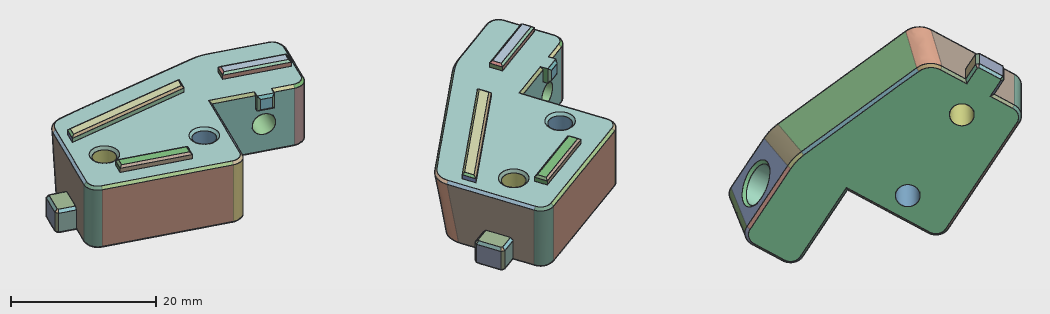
import cadquery as cq
import math

body_width = 26.5
body_length = 37.0
body_height = 10.25
arm_width = 11.5
shoulder_y = 23.03
edge_chamfer = 0.4

left_lean = math.radians(15)
diagonal_lean = math.radians(10)
diagonal_angle = math.radians(20)
diagonal_front_x = 8.9

corner_radius = 2.0
front_corner_radius = 3.0
bend_radius = 8.0

hole_diameter = 3.4
hole_x = 19.0
hole_ys = (4.85, 19.35)

cross_hole_y = 30.55
cross_hole_z = 4.85
counterbore_diameter = 6.0
counterbore_floor_x = 4.9

rib_height = 1.0
rib_chamfer = 0.3
rib_width = 2.0
left_rib_x = 4.85
left_rib_y = 26.1
left_rib_length = 10.0
right_rib_x = 21.83
right_rib_y = 5.48
right_rib_length = 10.5
diagonal_rib_x = 12.67
diagonal_rib_y = 1.6
diagonal_rib_length_y = 18.5

tab_root = 2.0
front_tab_x = 19.0
front_tab_width = 4.55
front_tab_length = 3.0
front_tab_height = 3.9
side_tab_y = 30.55
side_tab_width = 2.5
side_tab_length = 1.1
side_tab_height = 2.5


def body_outline(depth):
    """Sharp-cornered plan outline at a depth below the top face."""
    left_x = -edge_chamfer * math.sin(left_lean) + depth * math.tan(left_lean)
    diagonal_shift = depth * math.tan(diagonal_lean) / math.cos(diagonal_angle)
    front_x = diagonal_front_x + diagonal_shift
    bend_y = (front_x - left_x) / math.tan(diagonal_angle)
    return [
        (front_x, 0),
        (body_width, 0),
        (body_width, shoulder_y),
        (arm_width, shoulder_y),
        (arm_width, body_length),
        (left_x, body_length),
        (left_x, bend_y),
    ]


def round_corner(body, corner, radius):
    """Round the upright edge running between the two outlines at one corner."""
    (x0, y0), (x1, y1) = body_outline(body_height)[corner], body_outline(0)[corner]
    middle = ((x0 + x1) / 2, (y0 + y1) / 2, body_height / 2)
    return body.edges(cq.selectors.NearestToPointSelector(middle)).fillet(radius)


def make_body():
    body = (
        cq.Workplane("XY")
        .polyline(body_outline(body_height)).close()
        .workplane(offset=body_height)
        .polyline(body_outline(0)).close()
        .loft(ruled=True)
    )
    body = round_corner(body, 0, front_corner_radius)
    for corner in (1, 2, 4, 5):
        body = round_corner(body, corner, corner_radius)
    body = round_corner(body, 6, bend_radius)
    return body.faces(">Z or <Z").chamfer(edge_chamfer)


def make_rib(outline):
    rib = cq.Workplane("XY", origin=(0, 0, body_height)).polyline(outline).close().extrude(rib_height)
    return rib.faces(">Z").chamfer(rib_chamfer)


def straight_rib(x, y, length):
    return make_rib([(x, y), (x + rib_width, y), (x + rib_width, y + length), (x, y + length)])


def diagonal_rib():
    """Rib parallel to the diagonal wall, with ends parallel to the X axis."""
    width_x = rib_width / math.cos(diagonal_angle)
    back_x = diagonal_rib_x - diagonal_rib_length_y * math.tan(diagonal_angle)
    back_y = diagonal_rib_y + diagonal_rib_length_y
    return make_rib([
        (diagonal_rib_x, diagonal_rib_y),
        (diagonal_rib_x + width_x, diagonal_rib_y),
        (back_x + width_x, back_y),
        (back_x, back_y),
    ])


def front_tab():
    """Tab at the foot of the front wall, rooted inside the body."""
    tab = cq.Workplane("XY").box(
        front_tab_width, front_tab_length + tab_root, front_tab_height, centered=(True, False, False)
    )
    tab = tab.edges("|Z and <Y").chamfer(edge_chamfer)
    tab = tab.faces(">Z or <Z").edges("not >Y").chamfer(edge_chamfer)
    return tab.translate((front_tab_x, -front_tab_length, 0))


def side_tab():
    """Tab on the arm, flush with the top face."""
    tab = cq.Workplane("XY").box(
        side_tab_length + tab_root, side_tab_width, side_tab_height, centered=(False, True, False)
    )
    tab = tab.faces(">X").chamfer(edge_chamfer)
    return tab.translate((arm_width - tab_root, side_tab_y, body_height - side_tab_height))


def screw_hole(y):
    """Through hole with a chamfered mouth at the top."""
    mouth_diameter = hole_diameter + 2 * edge_chamfer
    hole = cq.Workplane("XY").circle(hole_diameter / 2).extrude(body_height)
    mouth = (
        cq.Workplane("XY", origin=(0, 0, body_height - edge_chamfer))
        .circle(hole_diameter / 2)
        .workplane(offset=edge_chamfer)
        .circle(mouth_diameter / 2)
        .loft()
    )
    return hole.union(mouth).translate((hole_x, y, 0))


def cut_cross_hole(body):
    """Hole along X with a counterbore whose rim is chamfered on the leaning wall."""
    wall_x = (body_height - cross_hole_z) * math.tan(left_lean)
    axis = cq.Workplane("YZ", origin=(0, cross_hole_y, cross_hole_z))
    body = body.cut(axis.circle(counterbore_diameter / 2).extrude(counterbore_floor_x))
    rim_middle = (wall_x, cross_hole_y, cross_hole_z)
    body = body.edges(cq.selectors.NearestToPointSelector(rim_middle)).chamfer(edge_chamfer)
    return body.cut(axis.circle(hole_diameter / 2).extrude(body_width))


result = cut_cross_hole(make_body())
result = result.union(straight_rib(left_rib_x, left_rib_y, left_rib_length))
result = result.union(straight_rib(right_rib_x, right_rib_y, right_rib_length))
result = result.union(diagonal_rib())
result = result.union(front_tab()).union(side_tab())
for hole_y in hole_ys:
    result = result.cut(screw_hole(hole_y))